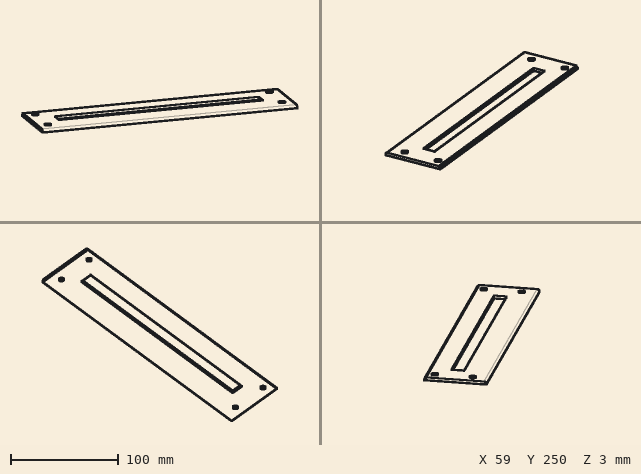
import cadquery as cq

width = 59.0
length = 250.0
thickness = 3.0
left_edge = -width / 2
right_edge = width / 2

ledge_width = 1.5
ledge_inner_height = 2.0
ledge_outer_height = 1.0
round_radius = 2.2

slot_width = 12.0
slot_length = 200.0
slot_center_x = left_edge + 27.0

hole_diameter = 4.5
countersink_diameter = 6.2
countersink_angle = 90.0
hole_spacing_x = 36.0
hole_end_margin = 10.0
hole_center_x = left_edge + 26.2
hole_spacing_y = length - 2 * hole_end_margin


def make_plate():
    """Extrude the edge-shaped cross-section along the length of the plate."""
    profile = (
        cq.Workplane("XZ")
        .moveTo(left_edge, 0)
        .lineTo(right_edge, 0)
        .lineTo(right_edge, thickness)
        .lineTo(left_edge + ledge_width, thickness)
        .lineTo(left_edge + ledge_width, ledge_inner_height)
        .lineTo(left_edge, ledge_outer_height)
        .close()
    )
    plate = profile.extrude(length / 2, both=True)
    return plate.edges(">X and >Z").fillet(round_radius)


def cut_slot(plate):
    slot = cq.Workplane("XY").center(slot_center_x, 0).rect(slot_width, slot_length).extrude(thickness)
    return plate.cut(slot)


def cut_screw_holes(plate):
    return (
        plate.faces(">Z")
        .workplane(origin=(hole_center_x, 0, thickness))
        .rect(hole_spacing_x, hole_spacing_y, forConstruction=True)
        .vertices()
        .cskHole(hole_diameter, countersink_diameter, countersink_angle)
    )


result = cut_screw_holes(cut_slot(make_plate()))